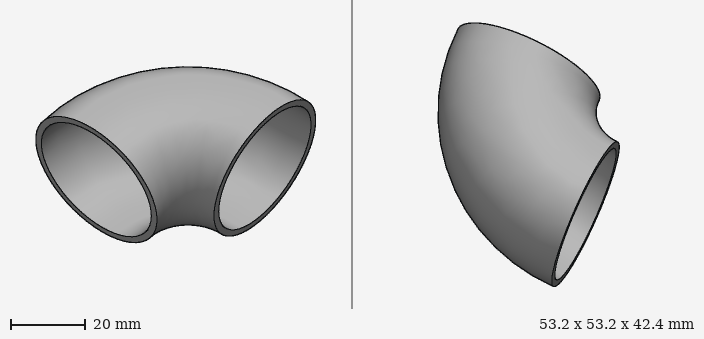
import cadquery as cq

overall_reach = 53.2
outer_diameter = 42.4
inner_diameter = 38.4
bend_angle = 90.0

bend_radius = overall_reach - outer_diameter / 2


def make_elbow():
    """Sweep the tube ring around the Z axis, from the -Y facing end to the +X facing end."""
    ring = (
        cq.Workplane("XZ")
        .center(-bend_radius, 0)
        .circle(outer_diameter / 2)
        .circle(inner_diameter / 2)
    )
    axis_start = (bend_radius, 0)
    axis_end = (bend_radius, -1)
    return ring.revolve(bend_angle, axis_start, axis_end)


result = make_elbow()